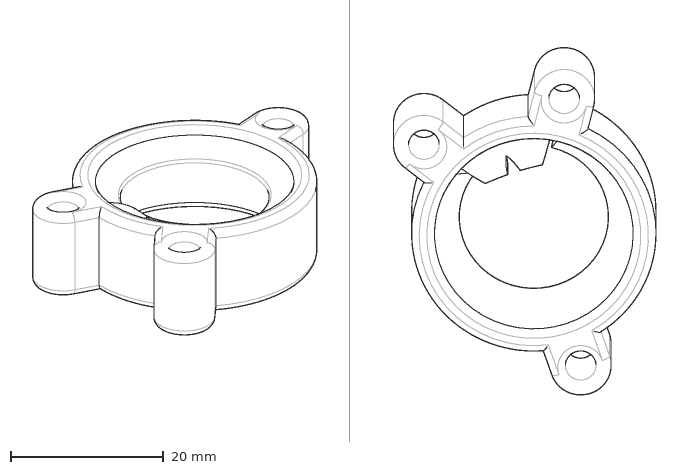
import cadquery as cq
import math

height = 12.0
half_height = height / 2
ring_radius = 16.0
bore_radius = 13.0
edge_round = 1.0

eyelet_radius = 4.0
eyelet_hole_diameter = 4.0
top_eyelet_y = 19.0
stem_length = 4.7
overall_length = 43.13
low_eyelet_x = 9.69
low_eyelet_y = top_eyelet_y + 2 * eyelet_radius - overall_length
low_stem_angle = 32.5

electrode_half_height = half_height - edge_round
opening_half_angle = 32.5
gap = 1.0

flank_mid = (11.1, 3.5)
nose_top = (10.0, 3.05)
nose_bottom = (9.76, 2.6)

pad_flat_y = -8.06
pad_shoulder = (9.0, 3.4)
pad_inner_half_height = 2.6
notch_half_width = 0.85
notch_depth = 3.0
notch_bulge = 0.15


def eyelet(x, y, stem_angle):
    """Round-edged eyelet on a stem whose square end is buried in the ring wall."""
    crown_radius = eyelet_radius - edge_round
    wall_half_height = half_height - edge_round
    hole_radius = eyelet_hole_diameter / 2
    loop = (
        cq.Workplane("XZ")
        .moveTo(hole_radius, -wall_half_height)
        .lineTo(hole_radius, wall_half_height)
        .threePointArc((crown_radius, half_height), (eyelet_radius, wall_half_height))
        .lineTo(eyelet_radius, -wall_half_height)
        .threePointArc((crown_radius, -half_height), (hole_radius, -wall_half_height))
        .close()
        .revolve(360, (0, 0, 0), (0, 1, 0))
    )
    stem = (
        cq.Workplane("XY")
        .box(2 * eyelet_radius, stem_length, height, centered=(True, False, True))
        .edges("|Y")
        .fillet(edge_round)
        .cut(cq.Workplane("XY").circle(crown_radius).extrude(half_height, both=True))
    )
    tab = loop.union(stem)
    return tab.rotate((0, 0, 0), (0, 0, 1), stem_angle).translate((x, y, 0))


eyelets = [
    (0, top_eyelet_y, 180),
    (-low_eyelet_x, low_eyelet_y, -low_stem_angle),
    (low_eyelet_x, low_eyelet_y, low_stem_angle),
]

housing = (
    cq.Workplane("XY")
    .workplane(offset=-half_height)
    .circle(ring_radius)
    .circle(bore_radius)
    .extrude(height)
    .edges()
    .fillet(edge_round)
)
for x, y, stem_angle in eyelets:
    housing = housing.union(eyelet(x, y, stem_angle))


def opening_sector(offset):
    """Wedge about -Y, its two sides moved inward by the given offset."""
    half = math.radians(opening_half_angle)
    reach = 2 * bore_radius
    apex_y = -offset / math.sin(half)
    return (
        cq.Workplane("XY")
        .workplane(offset=-half_height)
        .polyline([
            (0, apex_y),
            (-reach * math.tan(half), apex_y - reach),
            (reach * math.tan(half), apex_y - reach),
        ])
        .close()
        .extrude(height)
    )


long_electrode = (
    cq.Workplane("XZ")
    .moveTo(bore_radius, electrode_half_height)
    .threePointArc(flank_mid, nose_top)
    .tangentArcPoint(nose_bottom, relative=False)
    .lineTo(bore_radius, -electrode_half_height)
    .close()
    .revolve(360, (0, 0, 0), (0, 1, 0))
    .cut(opening_sector(0))
)


def notch():
    """Pointed notch with bowed sides, open at the flat side of the pad."""
    mid_x = notch_half_width / 2 + notch_bulge
    mid_y = pad_flat_y - notch_depth / 2
    return (
        cq.Workplane("XY")
        .moveTo(-notch_half_width, pad_flat_y)
        .threePointArc((-mid_x, mid_y), (0, pad_flat_y - notch_depth))
        .threePointArc((mid_x, mid_y), (notch_half_width, pad_flat_y))
        .close()
        .extrude(half_height, both=True)
    )


pad_inner_radius = -pad_flat_y
shoulder_radius, shoulder_height = pad_shoulder
beyond_flat = (
    cq.Workplane("XY")
    .box(2 * bore_radius, 2 * bore_radius, height, centered=(True, False, True))
    .translate((0, pad_flat_y, 0))
)
short_electrode = (
    cq.Workplane("XZ")
    .moveTo(bore_radius, -electrode_half_height)
    .threePointArc((shoulder_radius, -shoulder_height), (pad_inner_radius, -pad_inner_half_height))
    .lineTo(pad_inner_radius, pad_inner_half_height)
    .threePointArc((shoulder_radius, shoulder_height), (bore_radius, electrode_half_height))
    .close()
    .revolve(360, (0, 0, 0), (0, 1, 0))
    .intersect(opening_sector(gap))
    .cut(beyond_flat)
    .cut(notch())
)

bodies = [housing, long_electrode, short_electrode]
result = cq.Compound.makeCompound([body.solids().val() for body in bodies])